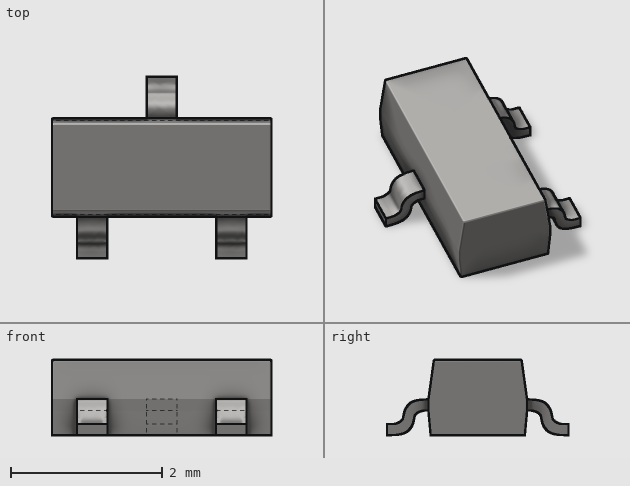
import cadquery as cq

body_length = 2.9
body_height = 1.0
waist_half_depth = 0.652
bottom_half_depth = 0.624
top_half_depth = 0.58
waist_bottom = 0.32
waist_top = 0.478
edge_radius = 0.03

overall_depth = 2.4
lead_width = 0.4
lead_thickness = 0.15
lead_offset = 0.92
lead_half_span = 0.29
lead_half_rise = waist_top / 2
lead_centre_y = overall_depth / 2 - lead_half_span


def make_body():
    """Prism with drafted sides, rounded everywhere except its base and waist."""
    right_side = [
        (bottom_half_depth, 0),
        (waist_half_depth, waist_bottom),
        (waist_half_depth, waist_top),
        (top_half_depth, body_height),
    ]
    left_side = [(-y, z) for y, z in reversed(right_side)]
    body = (
        cq.Workplane("YZ", origin=(-body_length / 2, 0, 0))
        .polyline(right_side + left_side)
        .close()
        .extrude(body_length)
    )
    corner_edges = body.faces("<X or >X").edges("not <Z")
    top_edges = body.faces(">Z").edges()
    return body.newObject(corner_edges.add(top_edges).vals()).fillet(edge_radius)


def make_lead(x, side):
    """S-shaped lead at x, pointing to +Y (side = 1) or -Y (side = -1)."""
    foot_top = lead_thickness - lead_half_rise
    upper_edge = [
        (-lead_half_span, lead_half_rise),
        (-0.145, 0.232),
        (-0.015, 0.185),
        (0.045, 0.107),
        (0.07, 0.03),
        (0.08, -0.025),
        (0.142, -0.072),
        (lead_half_span, foot_top),
    ]
    lower_edge = [(-y, -z) for y, z in upper_edge]
    flat_start = (1, 0)
    flat_return = (-1, 0)
    lead = (
        cq.Workplane("YZ", origin=(-lead_width / 2, lead_centre_y, lead_half_rise))
        .moveTo(*upper_edge[0])
        .spline(upper_edge[1:], tangents=[flat_start, flat_start], includeCurrent=True)
        .lineTo(*lower_edge[0])
        .spline(lower_edge[1:], tangents=[flat_return, flat_return], includeCurrent=True)
        .close()
        .extrude(lead_width)
    )
    if side < 0:
        lead = lead.mirror("XZ")
    return lead.translate((x, 0, 0))


result = make_body()
for x, side in [(-lead_offset, -1), (lead_offset, -1), (0, 1)]:
    result = result.union(make_lead(x, side))